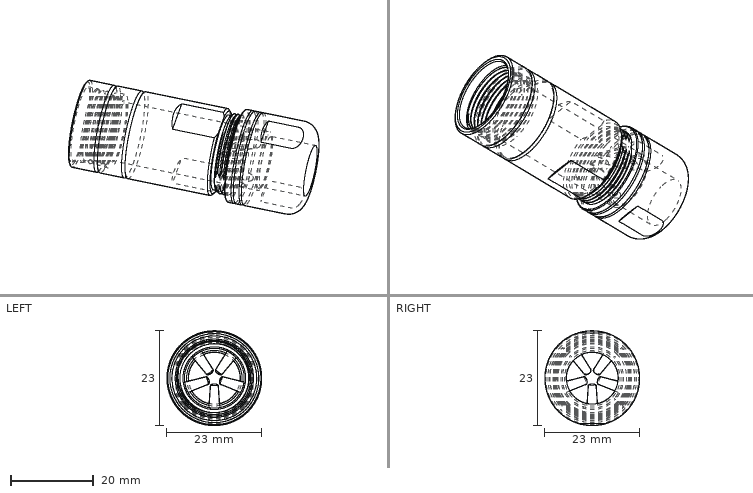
import cadquery as cq
import math


SLEEVE_RADIUS = 10.8
SLEEVE_END = 35.55
SLEEVE_CHAMFER = 0.5
MOUTH_CHAMFER_LENGTH = 0.35
SLEEVE_GROOVE_RADIUS = 0.435
SLEEVE_GROOVE_CENTRES = (6.95, 13.9)

NECK_RADIUS = 9.3
THREAD_START = 36.35
THREAD_CREST_RADIUS = 9.9
THREAD_ROOT_RADIUS = 9.45
THREAD_PITCH = 1.0
THREAD_GROOVE_START = 36.0
NECK_FLAT_DISTANCE = 9.35

NUT_START = 39.5
TOTAL_LENGTH = 58.0
NUT_DIAMETER = 23.0
NUT_RADIUS = NUT_DIAMETER / 2
NUT_CHAMFER = 0.25
NUT_ROUND = 3.95
NUT_GROOVE_CENTRES = (41.45, 43.5)
NUT_GROOVE_WIDTH = 0.6
NUT_GROOVE_DEPTH = 0.25

SLEEVE_FLAT_DISTANCE = 9.9
SLEEVE_FLAT_START = 24.55
NUT_FLAT_DISTANCE = 10.95
NUT_FLAT_START = 46.5

MOUTH_RADIUS = 9.5
SOCKET_RADIUS = 9.15
SOCKET_CHAMFER = 0.35
SOCKET_DEPTH = 2.6
THREAD_ENTRY_RADIUS = 8.8
INNER_ROOT_RADIUS = 9.05
INNER_CREST_RADIUS = 8.35
INNER_PITCH = 1.1
INNER_THREAD_END = 8.25
INNER_GROOVE_START = 2.5
INNER_GROOVE_RUNOUT = 0.6
RELIEF_END = 9.7
BORE_RADIUS = 7.25
BORE_CHAMFER = 0.35
BORE_END = 46.4
EXIT_RADIUS = 6.25
EXIT_CHAMFER = 0.45

FINGER_COUNT = 5
FINGER_TIP_HALF_WIDTH = 1.0
FINGER_ROOT_HALF_WIDTH = 1.4
FINGER_TIP_DISTANCE = 1.85
FINGER_ROOT_DISTANCE = 7.85
FINGER_ROOT_X = 42.9
FINGER_LEAN = 50
FINGER_TIP_TILT = 30
FINGER_HOLLOW_SHARE = 0.25

CREST_SHARE = 0.15
OVERCUT = 0.05


def turned(points):
    """Solid of revolution about X from (x, radius) corners, closed along the axis."""
    outline = [(points[0][0], 0)] + points + [(points[-1][0], 0)]
    return cq.Workplane("XY").polyline(outline).close().revolve(360, (0, 0), (1, 0))


def thread_groove(start, length, pitch, crest_radius, root_radius):
    """Right-hand helical V groove about X that starts on the -Z side at X = start."""
    half_width = pitch * (1 - CREST_SHARE) / 2
    outward = math.copysign(1, crest_radius - root_radius)
    clear_radius = crest_radius + outward * OVERCUT
    clear_half_width = half_width * (clear_radius - root_radius) / (crest_radius - root_radius)
    path = cq.Workplane(cq.Wire.makeHelix(pitch, length, root_radius))
    groove = (
        cq.Workplane("XZ")
        .polyline([
            (root_radius, 0),
            (clear_radius, clear_half_width),
            (clear_radius, -clear_half_width),
        ])
        .close()
        .sweep(path, isFrenet=True)
    )
    return groove.rotate((0, 0, 0), (0, 1, 0), 90).translate((start, 0, 0))


def ring_groove(centre, surface_radius, width, depth):
    """Ring with an arc section that cuts a rounded groove into a cylinder."""
    top = surface_radius + OVERCUT
    left = centre - width / 2
    right = centre + width / 2
    return (
        cq.Workplane("XY")
        .moveTo(left, top)
        .lineTo(left, surface_radius)
        .threePointArc((centre, surface_radius - depth), (right, surface_radius))
        .lineTo(right, top)
        .close()
        .revolve(360, (0, 0), (1, 0))
    )


def cut_spanner_flats(body, body_radius, distance, start, end):
    """Cut opposite flats at Z = +/-distance, running from start to end."""
    rise = body_radius - distance + OVERCUT
    cutter = (
        cq.Workplane("XZ")
        .polyline([
            (start, distance),
            (end, distance),
            (end, distance + rise),
            (start - rise, distance + rise),
        ])
        .close()
        .extrude(body_radius, both=True)
    )
    return body.cut(cutter).cut(cutter.mirror("XY"))


def make_sleeve():
    sleeve = turned([
        (0, SLEEVE_RADIUS - SLEEVE_CHAMFER),
        (MOUTH_CHAMFER_LENGTH, SLEEVE_RADIUS),
        (SLEEVE_END - SLEEVE_CHAMFER, SLEEVE_RADIUS),
        (SLEEVE_END, SLEEVE_RADIUS - SLEEVE_CHAMFER),
    ])
    for centre in SLEEVE_GROOVE_CENTRES:
        sleeve = sleeve.cut(
            ring_groove(centre, SLEEVE_RADIUS, 2 * SLEEVE_GROOVE_RADIUS, SLEEVE_GROOVE_RADIUS)
        )
    return cut_spanner_flats(
        sleeve, SLEEVE_RADIUS, SLEEVE_FLAT_DISTANCE, SLEEVE_FLAT_START, SLEEVE_END + OVERCUT
    )


def make_neck():
    thread_end = NUT_START + THREAD_PITCH
    lead_in = THREAD_CREST_RADIUS - NECK_RADIUS
    neck = turned([
        (SLEEVE_END - THREAD_PITCH, NECK_RADIUS),
        (THREAD_START, NECK_RADIUS),
        (THREAD_START + lead_in, THREAD_CREST_RADIUS),
        (thread_end, THREAD_CREST_RADIUS),
    ])
    neck = neck.cut(thread_groove(
        THREAD_GROOVE_START,
        thread_end + THREAD_PITCH - THREAD_GROOVE_START,
        THREAD_PITCH,
        THREAD_CREST_RADIUS,
        THREAD_ROOT_RADIUS,
    ))
    between_flats = cq.Workplane("XY").box(
        2 * TOTAL_LENGTH, 2 * NECK_FLAT_DISTANCE, 2 * NUT_RADIUS
    )
    return neck.intersect(between_flats)


def make_nut():
    nut = turned([
        (NUT_START, NUT_RADIUS - NUT_CHAMFER),
        (NUT_START + NUT_CHAMFER, NUT_RADIUS),
        (TOTAL_LENGTH, NUT_RADIUS),
    ])
    nut = nut.faces(">X").edges().fillet(NUT_ROUND)
    for centre in NUT_GROOVE_CENTRES:
        nut = nut.cut(ring_groove(centre, NUT_RADIUS, NUT_GROOVE_WIDTH, NUT_GROOVE_DEPTH))
    return cut_spanner_flats(
        nut, NUT_RADIUS, NUT_FLAT_DISTANCE, NUT_FLAT_START, TOTAL_LENGTH + OVERCUT
    )


def make_bore():
    thread_start = SOCKET_DEPTH + SOCKET_RADIUS - THREAD_ENTRY_RADIUS
    return turned([
        (0, MOUTH_RADIUS),
        (SOCKET_CHAMFER, SOCKET_RADIUS),
        (SOCKET_DEPTH, SOCKET_RADIUS),
        (thread_start, THREAD_ENTRY_RADIUS),
        (thread_start, INNER_CREST_RADIUS),
        (INNER_THREAD_END, INNER_CREST_RADIUS),
        (INNER_THREAD_END, SOCKET_RADIUS),
        (RELIEF_END, SOCKET_RADIUS),
        (RELIEF_END, BORE_RADIUS + BORE_CHAMFER),
        (RELIEF_END + BORE_CHAMFER, BORE_RADIUS),
        (BORE_END, BORE_RADIUS),
        (BORE_END, EXIT_RADIUS + EXIT_CHAMFER),
        (BORE_END + EXIT_CHAMFER, EXIT_RADIUS),
        (TOTAL_LENGTH, EXIT_RADIUS),
    ])


def make_inner_thread_groove():
    length = INNER_THREAD_END + INNER_GROOVE_RUNOUT - INNER_GROOVE_START
    return thread_groove(
        INNER_GROOVE_START, length, INNER_PITCH, INNER_CREST_RADIUS, INNER_ROOT_RADIUS
    )


def add_finger_section(plane, half_width):
    """Crescent with its hollow side toward the mouth and its round back away from it."""
    return (
        plane.moveTo(0, -half_width)
        .threePointArc((FINGER_HOLLOW_SHARE * half_width, 0), (0, half_width))
        .threePointArc((half_width, 0), (0, -half_width))
        .close()
    )


def make_finger(angle):
    """Finger that leans toward the mouth as it nears the axis; angle 0 is on the -Z side."""
    length = FINGER_ROOT_DISTANCE - FINGER_TIP_DISTANCE
    shift = length * math.tan(math.radians(FINGER_LEAN))
    root = cq.Workplane("XY", origin=(FINGER_ROOT_X, 0, -FINGER_ROOT_DISTANCE))
    root = add_finger_section(root, FINGER_ROOT_HALF_WIDTH)
    tip = root.workplane(offset=length, origin=(FINGER_ROOT_X - shift, 0, -FINGER_ROOT_DISTANCE))
    tip = tip.transformed(rotate=(0, -FINGER_TIP_TILT, 0))
    finger = add_finger_section(tip, FINGER_TIP_HALF_WIDTH).loft(ruled=True)
    return finger.rotate((0, 0, 0), (1, 0, 0), angle)


result = make_sleeve().union(make_neck()).union(make_nut()).cut(make_bore())
result = result.cut(make_inner_thread_groove())
for index in range(FINGER_COUNT):
    result = result.union(make_finger(index * 360 / FINGER_COUNT))